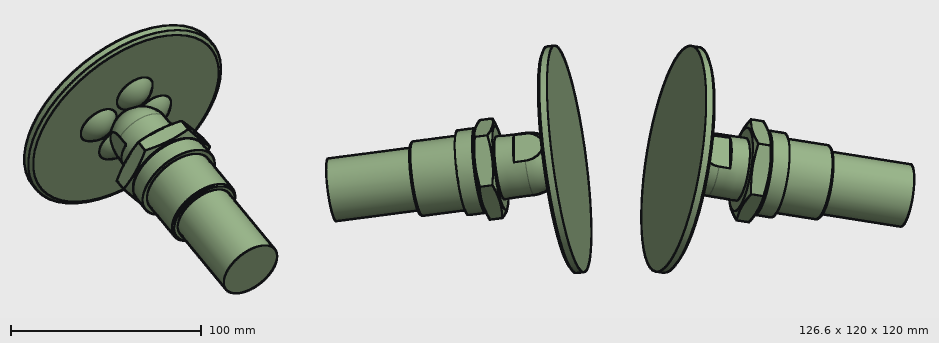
import cadquery as cq
import math

total_length = 126.6

plate_diameter = 120.0
plate_thickness = 5.3
plate_chamfer_length = 1.3
plate_chamfer_depth = 2.3

lobe_count = 4
lobe_radius = 13.7
lobe_height = 5.7
lobe_circle_radius = 17.9
lobe_start_angle = 72.0

ball_diameter = 33.0
ball_center_x = 20.8
shank_diameter = 33.3
flats_width = 27.2
flats_end_x = 26.8

nut_start_x = 36.7
nut_length = 10.0
nut_across_flats = 46.5
nut_chamfer_length = 1.6
nut_chamfer_end_radius = 22.2
nut_turn_angle = 30.0

flange_diameter = 45.0
flange_length = 10.0
flange_chamfer = 0.8
sleeve_diameter = 39.5
sleeve_length = 35.1
sleeve_chamfer = 0.9

nut_end_x = nut_start_x + nut_length


def revolve_profile(points):
    """Turn a closed profile of (x, radius) points about the X axis."""
    return cq.Workplane("XY").polyline(points).close().revolve(360, (0, 0, 0), (1, 0, 0))


def x_cylinder(start_x, length, diameter):
    return cq.Workplane("YZ", origin=(start_x, 0, 0)).circle(diameter / 2).extrude(length)


def x_sphere(center_x, radius):
    """Sphere centred on the X axis, with its poles on that axis."""
    return (
        cq.Workplane("XY")
        .moveTo(center_x - radius, 0)
        .threePointArc((center_x, radius), (center_x + radius, 0))
        .close()
        .revolve(360, (0, 0, 0), (1, 0, 0))
    )


def make_stem():
    ball_radius = ball_diameter / 2
    arc_offset = ball_radius * math.sqrt(0.5)
    shank_radius = shank_diameter / 2
    stem = (
        cq.Workplane("XY")
        .moveTo(ball_center_x - ball_radius, 0)
        .threePointArc((ball_center_x - arc_offset, arc_offset), (ball_center_x, ball_radius))
        .lineTo(nut_start_x, shank_radius)
        .lineTo(total_length, shank_radius)
        .lineTo(total_length, 0)
        .close()
        .revolve(360, (0, 0, 0), (1, 0, 0))
    )
    for side in (-1, 1):
        cutter = cq.Workplane("XY").box(
            flats_end_x, shank_diameter, shank_diameter, centered=(False, True, True)
        )
        stem = stem.cut(cutter.translate((0, side * (flats_width + shank_diameter) / 2, 0)))
    return stem


def make_plate():
    plate = (
        x_cylinder(0, plate_thickness, plate_diameter)
        .faces(">X")
        .chamfer(plate_chamfer_length, plate_chamfer_depth)
    )
    cap_start_x = plate_thickness / 2
    cap_diameter = 2 * (lobe_circle_radius + lobe_radius + lobe_height)
    cap_space = x_cylinder(cap_start_x, plate_thickness + lobe_height, cap_diameter)
    lobe_center_x = plate_thickness + lobe_height - lobe_radius
    for index in range(lobe_count):
        angle = math.radians(lobe_start_angle + index * 360 / lobe_count)
        lobe_y = lobe_circle_radius * math.cos(angle)
        lobe_z = lobe_circle_radius * math.sin(angle)
        lobe = x_sphere(lobe_center_x, lobe_radius).translate((0, lobe_y, lobe_z))
        plate = plate.union(lobe.intersect(cap_space))
    socket = x_sphere(ball_center_x, ball_diameter / 2)
    return plate.cut(socket)


def make_nut():
    hexagon = (
        cq.Workplane("YZ", origin=(nut_start_x, 0, 0))
        .polygon(6, nut_across_flats, circumscribed=True)
        .extrude(nut_length)
        .rotate((0, 0, 0), (1, 0, 0), nut_turn_angle)
    )
    corner_radius = nut_across_flats / math.sqrt(3)
    chamfer_envelope = revolve_profile([
        (nut_start_x, 0),
        (nut_start_x, nut_chamfer_end_radius),
        (nut_start_x + nut_chamfer_length, corner_radius),
        (nut_end_x - nut_chamfer_length, corner_radius),
        (nut_end_x, nut_chamfer_end_radius),
        (nut_end_x, 0),
    ])
    bore = x_cylinder(nut_start_x, nut_length, shank_diameter)
    return hexagon.intersect(chamfer_envelope).cut(bore)


def make_sleeve():
    bore_radius = shank_diameter / 2
    flange_radius = flange_diameter / 2
    sleeve_radius = sleeve_diameter / 2
    flange_end_x = nut_end_x + flange_length
    sleeve_end_x = nut_end_x + sleeve_length
    return revolve_profile([
        (nut_end_x, bore_radius),
        (nut_end_x, flange_radius - flange_chamfer),
        (nut_end_x + flange_chamfer, flange_radius),
        (flange_end_x, flange_radius),
        (flange_end_x, sleeve_radius),
        (sleeve_end_x - sleeve_chamfer, sleeve_radius),
        (sleeve_end_x, sleeve_radius - sleeve_chamfer),
        (sleeve_end_x, bore_radius),
    ])


stem = make_stem()
plate = make_plate()
nut = make_nut()
sleeve = make_sleeve()

result = cq.Compound.makeCompound([body.solids().val() for body in (plate, stem, nut, sleeve)])